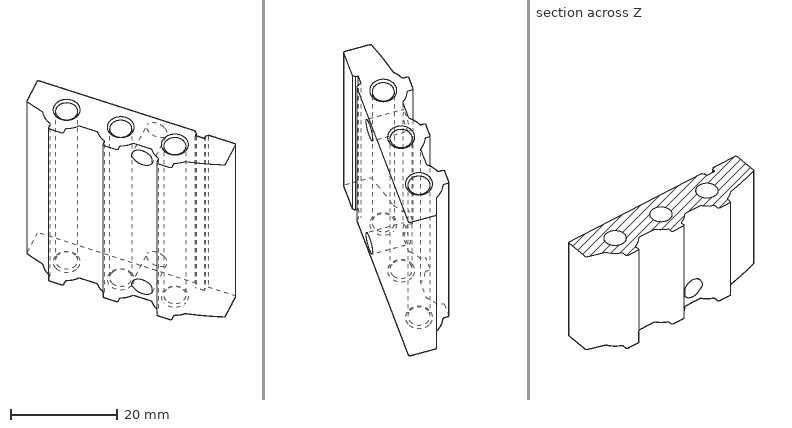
import cadquery as cq
import math

WIDTH = 40.3
DEPTH = 10.0
HEIGHT = 46.0
BACK_Y = DEPTH / 2

FLANK_RADIUS = 59.8
SIDE_DEPTH = 5.47
FLOOR_DEPTH = 7.18

RIB_PITCH = 11.0
MIDDLE_RIB_X = -1.43
RIB_XS = [MIDDLE_RIB_X + step * RIB_PITCH for step in (-1, 0, 1)]
RIB_RADIUS = 4.5
TAB_WIDTH = 3.1
MIDDLE_TAB_SETBACK = 0.2
CORNER_RADIUS = 0.3
FLANK_ROOT_RADIUS = 0.45

BORE_DIAMETER = 4.15
BORE_MOUTH_DIAMETER = 5.05
BORE_DEPTH = 4.5
BORE_Y = BACK_Y - BORE_DEPTH

CROSS_HOLE_DIAMETER = 4.2
CROSS_HOLE_X = MIDDLE_RIB_X + RIB_PITCH / 2
CROSS_HOLE_INSET = 3.5

GROOVE_X = 13.2
GROOVE_WIDTH = 1.85
GROOVE_DEPTH = 1.0
GROOVE_CHAMFER = 0.45


def block(x_min, x_max, y_min, y_max):
    """Full-height block between the given X and Y limits."""
    return (
        cq.Workplane("XY")
        .rect(x_max - x_min, y_max - y_min)
        .extrude(HEIGHT)
        .translate(((x_min + x_max) / 2, (y_min + y_max) / 2, 0))
    )


def make_plate():
    """Plate with a cylindrical front, cut back to a flat floor between the outer ribs."""
    half_width = WIDTH / 2
    side_y = BACK_Y - SIDE_DEPTH
    sagitta = FLANK_RADIUS - math.sqrt(FLANK_RADIUS**2 - half_width**2)
    plate = (
        cq.Workplane("XY")
        .moveTo(-half_width, BACK_Y)
        .lineTo(-half_width, side_y)
        .threePointArc((0, side_y - sagitta), (half_width, side_y))
        .lineTo(half_width, BACK_Y)
        .close()
        .extrude(HEIGHT)
    )
    return plate.cut(block(RIB_XS[0], RIB_XS[-1], -DEPTH, BACK_Y - FLOOR_DEPTH))


def make_rib(x):
    """Half-round rib in front of a bore axis, with its tab."""
    round_part = (
        cq.Workplane("XY")
        .moveTo(x - RIB_RADIUS, BORE_Y)
        .threePointArc((x, BORE_Y - RIB_RADIUS), (x + RIB_RADIUS, BORE_Y))
        .close()
        .extrude(HEIGHT)
    )
    setback = MIDDLE_TAB_SETBACK if x == MIDDLE_RIB_X else 0
    tab = block(x - TAB_WIDTH / 2, x + TAB_WIDTH / 2, setback - DEPTH / 2, BORE_Y)
    return round_part.union(tab)


def flank_root_box(side):
    """Selector for the root between an outer rib and the flank; side is -1 (left) or 1 (right)."""
    outer_rib_x = RIB_XS[0] if side < 0 else RIB_XS[-1]
    near_x = outer_rib_x + side * TAB_WIDTH
    far_x = side * (WIDTH / 2 - 2 * CORNER_RADIUS)
    return cq.selectors.BoxSelector((near_x, -BACK_Y, 0), (far_x, BACK_Y, HEIGHT))


def make_bore(x):
    """Through bore with a 45 degree countersink at each end."""
    bore_radius = BORE_DIAMETER / 2
    mouth_radius = BORE_MOUTH_DIAMETER / 2
    sink_depth = mouth_radius - bore_radius
    return (
        cq.Workplane("XZ")
        .polyline([
            (0, 0),
            (mouth_radius, 0),
            (bore_radius, sink_depth),
            (bore_radius, HEIGHT - sink_depth),
            (mouth_radius, HEIGHT),
            (0, HEIGHT),
        ])
        .close()
        .revolve(360, (0, 0), (0, 1))
        .translate((x, BORE_Y, 0))
    )


def make_cross_hole(z):
    """Plain hole through the whole depth."""
    return (
        cq.Workplane("XZ")
        .center(CROSS_HOLE_X, z)
        .circle(CROSS_HOLE_DIAMETER / 2)
        .extrude(DEPTH, both=True)
    )


def make_groove():
    """Full-height groove with chamfered lips."""
    half_floor = GROOVE_WIDTH / 2
    half_mouth = half_floor + GROOVE_CHAMFER
    return (
        cq.Workplane("XY")
        .polyline([
            (GROOVE_X - half_mouth, BACK_Y),
            (GROOVE_X - half_floor, BACK_Y - GROOVE_CHAMFER),
            (GROOVE_X - half_floor, BACK_Y - GROOVE_DEPTH),
            (GROOVE_X + half_floor, BACK_Y - GROOVE_DEPTH),
            (GROOVE_X + half_floor, BACK_Y - GROOVE_CHAMFER),
            (GROOVE_X + half_mouth, BACK_Y),
        ])
        .close()
        .extrude(HEIGHT)
    )


body = make_plate()
for rib_x in RIB_XS:
    body = body.union(make_rib(rib_x))

flank_roots = flank_root_box(-1) + flank_root_box(1)
long_edges = cq.selectors.ParallelDirSelector(cq.Vector(0, 0, 1))
body = body.edges(long_edges - flank_roots).fillet(CORNER_RADIUS)
body = body.edges(long_edges & flank_roots).fillet(FLANK_ROOT_RADIUS)

for rib_x in RIB_XS:
    body = body.cut(make_bore(rib_x))
for hole_z in (CROSS_HOLE_INSET, HEIGHT - CROSS_HOLE_INSET):
    body = body.cut(make_cross_hole(hole_z))

result = body.cut(make_groove())